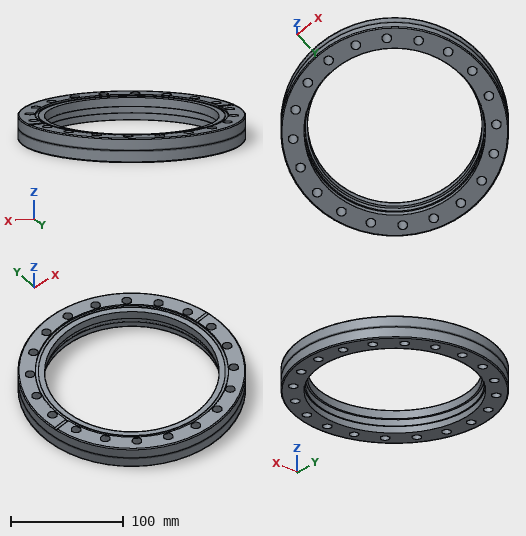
import cadquery as cq
import math

outer_diameter = 202.4
thickness = 22.2
bore_diameter = 155.0

seat_diameter = 159.0
seat_height = 12.8
entry_diameter = 161.2
entry_height = 6.5

rim_chamfer_height = 1.0
rim_chamfer_width = 1.0

recess_diameter = 171.5
knife_edge_diameter = 166.1
knife_edge_depth = 0.6
knife_slope_deg = 20.0
inner_face_depth = 1.2

rim_groove_width = 1.7
rim_groove_depth = 0.25

bolt_count = 20
bolt_circle_diameter = 181.0
bolt_hole_diameter = 8.4

leak_groove_overlap = 0.3
leak_groove_width = 2.8
leak_groove_depth = 0.9
leak_groove_angles_deg = (9.0, 189.0)

outer_radius = outer_diameter / 2
bore_radius = bore_diameter / 2
seat_radius = seat_diameter / 2
entry_radius = entry_diameter / 2
recess_radius = recess_diameter / 2
knife_radius = knife_edge_diameter / 2
mid_height = thickness / 2


def ring_body():
    """Revolve the ring section, including the knife edge and rim groove."""
    rim_inset = outer_radius - rim_chamfer_width
    knife_drop = (recess_radius - knife_radius) * math.tan(math.radians(knife_slope_deg))
    section = (
        cq.Workplane("XZ")
        .moveTo(bore_radius, seat_height)
        .lineTo(seat_radius, seat_height)
        .lineTo(seat_radius, entry_height)
        .lineTo(entry_radius, entry_height)
        .lineTo(entry_radius, 0)
        .lineTo(rim_inset, 0)
        .lineTo(outer_radius, rim_chamfer_height)
        .lineTo(outer_radius, mid_height - rim_groove_width / 2)
        .lineTo(outer_radius - rim_groove_depth, mid_height)
        .lineTo(outer_radius, mid_height + rim_groove_width / 2)
        .lineTo(outer_radius, thickness - rim_chamfer_height)
        .lineTo(rim_inset, thickness)
        .lineTo(recess_radius, thickness)
        .lineTo(recess_radius, thickness - knife_edge_depth - knife_drop)
        .lineTo(knife_radius, thickness - knife_edge_depth)
        .lineTo(knife_radius, thickness - inner_face_depth)
        .lineTo(bore_radius, thickness - inner_face_depth)
        .close()
    )
    return section.revolve(360, (0, 0, 0), (0, 1, 0))


def bolt_holes():
    """Cylinders for the full circle of through holes."""
    return (
        cq.Workplane("XY")
        .polarArray(bolt_circle_diameter / 2, 0, 360, bolt_count)
        .circle(bolt_hole_diameter / 2)
        .extrude(thickness)
    )


def leak_groove(angle_deg):
    """Radial cutter with an arc-shaped floor, running from the recess out past the rim."""
    half_width = leak_groove_width / 2
    cutter_top = thickness + half_width
    return (
        cq.Workplane("YZ", origin=(recess_radius - leak_groove_overlap, 0, 0))
        .moveTo(-half_width, cutter_top)
        .lineTo(-half_width, thickness)
        .threePointArc((0, thickness - leak_groove_depth), (half_width, thickness))
        .lineTo(half_width, cutter_top)
        .close()
        .extrude(outer_radius)
        .rotate((0, 0, 0), (0, 0, 1), angle_deg)
    )


result = ring_body().cut(bolt_holes())
for groove_angle in leak_groove_angles_deg:
    result = result.cut(leak_groove(groove_angle))